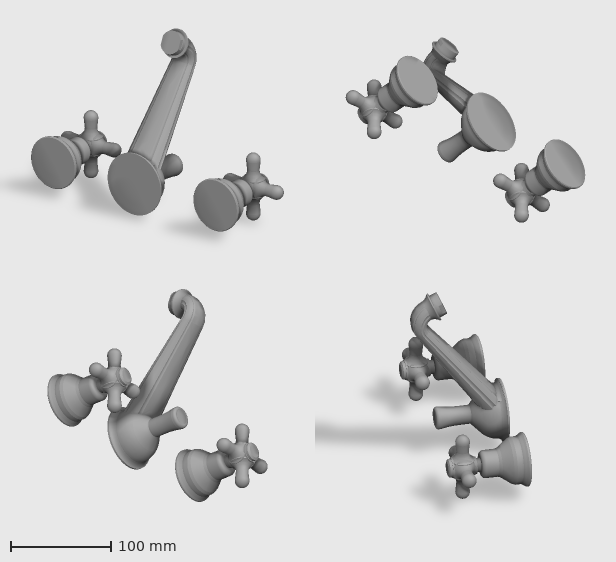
import cadquery as cq
import math


HANDLE_OFFSET = 100.0
HANDLE_REACH = 36.0

BASE_RADIUS = 27.5
BASE_FACE_RADIUS = 26.7
BASE_RIM = 2.5
BASE_LIP_RADIUS = 26.0
BASE_LIP_HEIGHT = 4.4
BASE_DRUM_RADIUS = 24.2
BASE_DRUM_START = 7.5
BASE_DRUM_END = 14.0
BASE_SHOULDER_RADIUS = 22.8
BASE_SHOULDER_HEIGHT = 17.0
BASE_CONE_RADIUS = 15.5
BASE_CONE_END = 27.2
BASE_NECK_RADIUS = 14.1
BASE_NECK_START = 30.2
BASE_HEIGHT = 47.0
BASE_TOP_ROUND = 4.0

STEM_RADIUS = 7.0
STEM_LENGTH = 4.4
HUB_RADIUS = 10.0
HUB_START_RADIUS = 8.7
HUB_TAPER = 4.5
HUB_CAP_START = 76.7
HUB_CAP_RADIUS = 9.2
HUB_CAP_EDGE = 79.5
HUB_TOP_RADIUS = 6.8
HUB_TOP = 80.8

ARM_HEIGHT = 65.0
ARM_BALL_RADIUS = 7.3
ARM_WAIST_RADIUS = 6.3
ARM_WAIST_REACH = 18.0
ARM_FLARE_RADIUS = 12.0
ARM_FLARE_REACH = 8.7
ARM_FLARE_CURVE = 10.0
ARM_COUNT = 4

FLANGE_RADIUS = 32.6
FLANGE_RIM = 2.0
BELL_FOOT_RADIUS = 27.7
BELL_FOOT_HEIGHT = 7.0
BELL_BULGE_RADIUS = 25.5
BELL_BULGE_HEIGHT = 16.3
BELL_SHOULDER_RADIUS = 20.7
BELL_SHOULDER_HEIGHT = 23.5
SKIRT_RADIUS = 28.5
SKIRT_FOOT_RADIUS = 32.0
SKIRT_FOOT_HEIGHT = 2.5
SKIRT_START = 6.0
SKIRT_END = 9.2
SKIRT_CORE_RADIUS = 21.8
SKIRT_ANGLE = 80
COLLAR_RADIUS = 9.5
COLLAR_START = 34.0
COLLAR_END = 43.5

ARM_TILT = 51.8
OUTLET_TILT = 156.0
ARM_END_Y = 83.0
ARM_END_Z = 102.8
ARM_LENGTH = 115.3
ARM_ROOT_HALF_WIDTH = 21.8
ARM_ROOT_HALF_DEPTH = 13.3
ARM_END_HALF_WIDTH = 14.1
ARM_END_HALF_DEPTH = 8.0
ELBOW_RADIUS = 15.0
ELBOW_STEPS = 5
ELBOW_END_RADIUS = 10.3

FLUTES = ((-6, 10), (53, 6), (127, 6), (186, 10), (233, 6), (307, 6))
FLUTE_DEPTH = 0.06

OUTLET_FLANGE_RADIUS = 15.0
OUTLET_FLANGE_START = 6.8
OUTLET_FLANGE_END = 8.2
OUTLET_FLARE_RADIUS = 11.0
OUTLET_ROOT_RADIUS = 12.2
OUTLET_TIP_RADIUS = 12.0
OUTLET_END = 16.3
OUTLET_FLAT_HALF_WIDTH = 11.0
OUTLET_FLAT_LENGTH = 4.0

ROD_RADIUS = 2.7
KNOB_FLARE_RADIUS = 95.2
KNOB_HEAD_RADIUS = 11.5
KNOB_HEAD_START = 64.7
KNOB_HEAD_END = 66.6
KNOB_TOP_RADIUS = 7.5
KNOB_TOP = 69.4


def turn_about_y(profile):
    """Close a half profile of (radius, height) points and turn it about the Y axis."""
    return profile.close().revolve(360, (0, 0, 0), (0, 1, 0))


def handle_base():
    profile = (
        cq.Workplane("XY")
        .lineTo(BASE_FACE_RADIUS, 0)
        .lineTo(BASE_RADIUS, BASE_RADIUS - BASE_FACE_RADIUS)
        .lineTo(BASE_RADIUS, BASE_RIM)
        .lineTo(BASE_LIP_RADIUS, BASE_LIP_HEIGHT)
        .lineTo(BASE_DRUM_RADIUS, BASE_DRUM_START)
        .lineTo(BASE_DRUM_RADIUS, BASE_DRUM_END)
        .lineTo(BASE_SHOULDER_RADIUS, BASE_SHOULDER_HEIGHT)
        .lineTo(BASE_CONE_RADIUS, BASE_CONE_END)
        .lineTo(BASE_NECK_RADIUS, BASE_NECK_START)
        .lineTo(BASE_NECK_RADIUS, BASE_HEIGHT - BASE_TOP_ROUND)
        .radiusArc((BASE_NECK_RADIUS - BASE_TOP_ROUND, BASE_HEIGHT), -BASE_TOP_ROUND)
        .lineTo(0, BASE_HEIGHT)
    )
    return turn_about_y(profile)


def handle_hub():
    stem_end = BASE_HEIGHT + STEM_LENGTH
    profile = (
        cq.Workplane("XY")
        .moveTo(0, BASE_HEIGHT)
        .lineTo(STEM_RADIUS, BASE_HEIGHT)
        .lineTo(STEM_RADIUS, stem_end)
        .lineTo(HUB_START_RADIUS, stem_end)
        .lineTo(HUB_RADIUS, stem_end + HUB_TAPER)
        .lineTo(HUB_RADIUS, HUB_CAP_START)
        .lineTo(HUB_CAP_RADIUS, HUB_CAP_START)
        .lineTo(HUB_CAP_RADIUS, HUB_CAP_EDGE)
        .lineTo(HUB_TOP_RADIUS, HUB_TOP)
        .lineTo(0, HUB_TOP)
    )
    return turn_about_y(profile)


def handle_arm():
    """One arm along +X: a flared root, a waist, and a cone running smoothly into a ball end."""
    ball_centre = HANDLE_REACH - ARM_BALL_RADIUS
    lean = math.atan2(ARM_BALL_RADIUS - ARM_WAIST_RADIUS, ball_centre - ARM_WAIST_REACH)
    ball_start = (ball_centre - ARM_BALL_RADIUS * math.sin(lean), ARM_BALL_RADIUS * math.cos(lean))
    return (
        cq.Workplane("XY")
        .lineTo(0, ARM_FLARE_RADIUS)
        .lineTo(ARM_FLARE_REACH, ARM_FLARE_RADIUS)
        .radiusArc((ARM_WAIST_REACH, ARM_WAIST_RADIUS), -ARM_FLARE_CURVE)
        .lineTo(*ball_start)
        .radiusArc((HANDLE_REACH, 0), ARM_BALL_RADIUS)
        .close()
        .revolve(360, (0, 0, 0), (1, 0, 0))
        .translate((0, ARM_HEIGHT, 0))
    )


def cross_handle():
    handle = handle_hub()
    for index in range(ARM_COUNT):
        handle = handle.union(handle_arm().rotate((0, 0, 0), (0, 1, 0), index * 360 / ARM_COUNT))
    return handle


def spout_section(centre_y, centre_z, tilt, half_width, half_depth):
    """Fluted oval wire, square to a heading in the YZ plane."""
    heading = math.radians(tilt)
    plane = cq.Plane(
        origin=(0, centre_y, centre_z),
        xDir=(1, 0, 0),
        normal=(0, math.cos(heading), math.sin(heading)),
    )

    def oval(angle, share=1.0):
        turn = math.radians(angle)
        return (share * half_width * math.cos(turn), share * half_depth * math.sin(turn))

    first_angle, first_spread = FLUTES[0]
    outline = cq.Workplane(plane).moveTo(*oval(first_angle - first_spread))
    next_flutes = FLUTES[1:] + ((first_angle + 360, first_spread),)
    for (angle, spread), (next_angle, next_spread) in zip(FLUTES, next_flutes):
        flute_end = angle + spread
        next_start = next_angle - next_spread
        outline = outline.threePointArc(oval(angle, 1 - FLUTE_DEPTH), oval(flute_end))
        outline = outline.threePointArc(oval((flute_end + next_start) / 2), oval(next_start))
    return outline.close().val()


def elbow_point(tilt):
    """Centre-line point (Y, Z) of the elbow where its heading is `tilt`."""
    start = math.radians(ARM_TILT)
    heading = math.radians(tilt)
    y = ARM_END_Y + ELBOW_RADIUS * (math.sin(heading) - math.sin(start))
    z = ARM_END_Z - ELBOW_RADIUS * (math.cos(heading) - math.cos(start))
    return y, z


def spout_arm():
    heading = math.radians(ARM_TILT)
    root_y = ARM_END_Y - ARM_LENGTH * math.cos(heading)
    root_z = ARM_END_Z - ARM_LENGTH * math.sin(heading)
    root = spout_section(root_y, root_z, ARM_TILT, ARM_ROOT_HALF_WIDTH, ARM_ROOT_HALF_DEPTH)
    end = spout_section(ARM_END_Y, ARM_END_Z, ARM_TILT, ARM_END_HALF_WIDTH, ARM_END_HALF_DEPTH)
    return cq.Workplane(cq.Solid.makeLoft([root, end], True))


def spout_elbow():
    """Bend whose section changes from the fluted oval of the arm to a circle."""
    sections = []
    for step in range(ELBOW_STEPS + 1):
        share = step / ELBOW_STEPS
        tilt = ARM_TILT + share * (OUTLET_TILT - ARM_TILT)
        blend = share ** 2
        half_width = ARM_END_HALF_WIDTH + blend * (ELBOW_END_RADIUS - ARM_END_HALF_WIDTH)
        half_depth = ARM_END_HALF_DEPTH + blend * (ELBOW_END_RADIUS - ARM_END_HALF_DEPTH)
        sections.append(spout_section(*elbow_point(tilt), tilt, half_width, half_depth))
    return cq.Workplane(cq.Solid.makeLoft(sections, False))


def spout_outlet():
    """Flared collar, thin flange and tip with two side flats, turned about the outlet axis."""
    outlet = turn_about_y(
        cq.Workplane("XY")
        .lineTo(ELBOW_END_RADIUS, 0)
        .radiusArc((OUTLET_FLANGE_RADIUS, OUTLET_FLANGE_START), OUTLET_FLARE_RADIUS)
        .lineTo(OUTLET_FLANGE_RADIUS, OUTLET_FLANGE_END)
        .lineTo(OUTLET_ROOT_RADIUS, OUTLET_FLANGE_END)
        .lineTo(OUTLET_TIP_RADIUS, OUTLET_END)
        .lineTo(0, OUTLET_END)
    )
    flat_block = cq.Workplane("XY").box(
        OUTLET_ROOT_RADIUS, OUTLET_FLAT_LENGTH, 2 * OUTLET_ROOT_RADIUS, centered=(True, False, True)
    )
    block_offset = OUTLET_FLAT_HALF_WIDTH + OUTLET_ROOT_RADIUS / 2
    for side in (-1, 1):
        outlet = outlet.cut(flat_block.translate((side * block_offset, OUTLET_END - OUTLET_FLAT_LENGTH, 0)))
    return outlet.rotate((0, 0, 0), (1, 0, 0), OUTLET_TILT).translate((0, *elbow_point(OUTLET_TILT)))


def spout_bell():
    """Wall flange, dome and the round neck that carries the knob."""
    return turn_about_y(
        cq.Workplane("XY")
        .lineTo(FLANGE_RADIUS, 0)
        .lineTo(FLANGE_RADIUS, FLANGE_RIM)
        .radiusArc((BELL_FOOT_RADIUS, BELL_FOOT_HEIGHT), BELL_FOOT_HEIGHT)
        .threePointArc((BELL_BULGE_RADIUS, BELL_BULGE_HEIGHT), (BELL_SHOULDER_RADIUS, BELL_SHOULDER_HEIGHT))
        .lineTo(COLLAR_RADIUS, COLLAR_START)
        .lineTo(COLLAR_RADIUS, COLLAR_END)
        .lineTo(0, COLLAR_END)
    )


def spout_skirt():
    """Band of the ring around the bell, under the front of the arm."""
    fillet_radius = SKIRT_FOOT_RADIUS - SKIRT_RADIUS
    return (
        cq.Workplane("XY")
        .moveTo(SKIRT_CORE_RADIUS, 0)
        .lineTo(SKIRT_FOOT_RADIUS, 0)
        .lineTo(SKIRT_FOOT_RADIUS, SKIRT_FOOT_HEIGHT)
        .radiusArc((SKIRT_RADIUS, SKIRT_START), fillet_radius)
        .lineTo(SKIRT_RADIUS, SKIRT_END)
        .lineTo(SKIRT_CORE_RADIUS, SKIRT_END + SKIRT_RADIUS - SKIRT_CORE_RADIUS)
        .close()
        .revolve(SKIRT_ANGLE, (0, 0, 0), (0, 1, 0))
        .rotate((0, 0, 0), (0, 1, 0), -90 - SKIRT_ANGLE / 2)
    )


def rod():
    """Shank of the knob, running through the spout to the wall face."""
    return cq.Workplane("XZ").circle(ROD_RADIUS).extrude(-COLLAR_END)


def spout():
    body = spout_bell().union(spout_skirt()).union(spout_arm()).union(spout_elbow()).union(spout_outlet())
    return body.cut(rod())


def lift_knob():
    head = turn_about_y(
        cq.Workplane("XY")
        .moveTo(0, COLLAR_END)
        .lineTo(COLLAR_RADIUS, COLLAR_END)
        .radiusArc((KNOB_HEAD_RADIUS, KNOB_HEAD_START), KNOB_FLARE_RADIUS)
        .lineTo(KNOB_HEAD_RADIUS, KNOB_HEAD_END)
        .radiusArc((KNOB_TOP_RADIUS, KNOB_TOP), -(KNOB_TOP - KNOB_HEAD_END))
        .lineTo(0, KNOB_TOP)
    )
    return head.union(rod())


bodies = [spout().solids().val(), lift_knob().solids().val()]
for side in (-1, 1):
    position = (side * HANDLE_OFFSET, 0, 0)
    bodies.append(handle_base().translate(position).val())
    bodies.append(cross_handle().translate(position).solids().val())

result = cq.Compound.makeCompound(bodies)